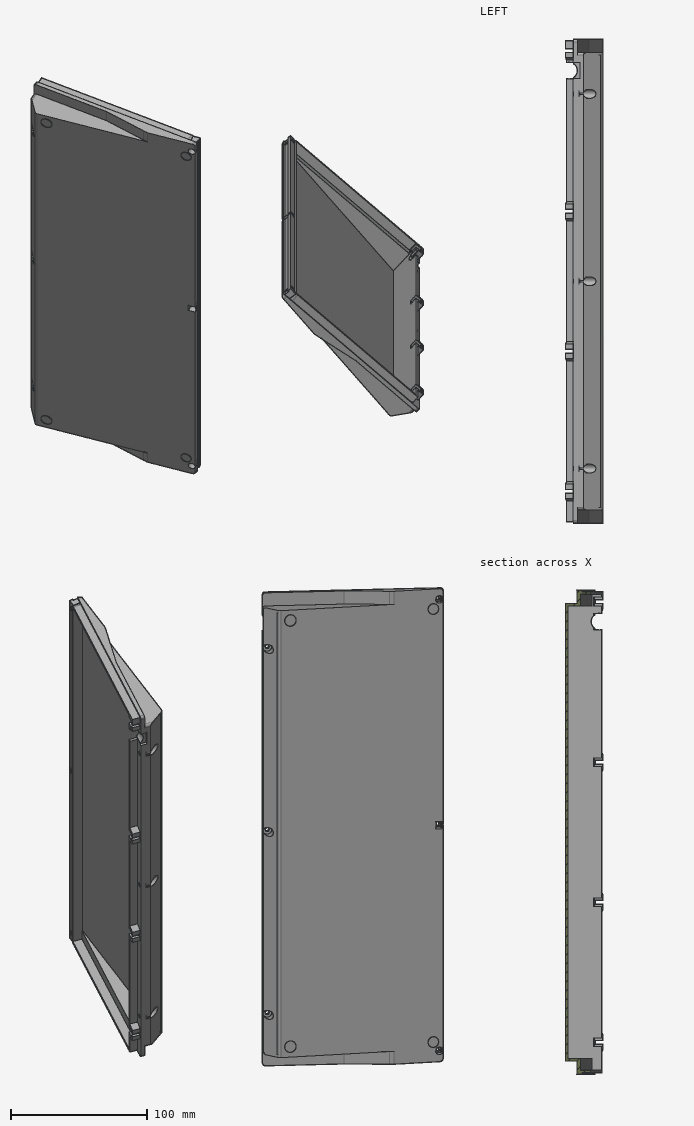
import cadquery as cq
import math


total_x = 133.23
total_y = 27.64
length = 355.26
half_length = length / 2
tilt = math.radians(8.3)

bevel_foot_x = 8.3
bevel_top_y = 14.5
plate_right_x = 132.3
rim_depth = 6.0
flange_depth = 3.1
plate_edge_radius = 2.0
corner_radius = 2.0
recess_corner_radius = 2.0
bead_y = 2.2

rim_end_inset = 1.2
wall = 2.0
rim_left = 7.0
rim_right = 128.5
rim_corner_radius = 3.0
floor_thickness = 2.0

tab_left = 1.6
tab_tip_width = 10.5
tab_root_width = 14.0
tab_gap = 2.6
tab_pitch = 102.7
end_tab_z = 169.2

recess_width = 9.8
recess_bend_x = 60.0
recess_foot_x = 92.0
recess_end_x = 95.3
recess_foot_y = 0.9

notch_z = 154.5
notch_width = 11.8
notch_floor_y = 17.1
notch_radius = 6.0
notch_centre_y = 25.0

left_screw_pitch = 137.4
left_screw_offset = 3.25
screw_head_radius = 3.3
screw_floor = 4.2
screw_hole_radius = 1.5

right_screw_x = 129.7
right_screw_z = 169.5
right_head_radius = 2.7
right_hole_radius = 1.6
middle_hole_length = 3.8

rail_left_x = 127.5
rail_top_y = 9.0
rail_thickness = 2.6
rail_gap = 1.2

foot_depth = 0.5
left_foot = (16.8, 160.0, 4.3)
right_foot = (125.2, 162.6, 4.0)

rim_top_v = (total_y - bevel_top_y + tab_left * math.sin(tilt)) / math.cos(tilt)
deck_v = rim_top_v - rim_depth
flange_under_v = deck_v - flange_depth
rim_end_z = half_length - rim_end_inset

right_screw_u = right_screw_x * math.cos(tilt) + bevel_top_y * math.sin(tilt)
right_head_v = (
    right_screw_x * math.sin(tilt)
    + (rail_top_y - rail_thickness - bevel_top_y) * math.cos(tilt)
)

cut_margin = 1.0


def sloped(u, v):
    """X and Y of a point given along and square to the sloped deck."""
    x = u * math.cos(tilt) + v * math.sin(tilt)
    y = bevel_top_y - u * math.sin(tilt) + v * math.cos(tilt)
    return (x, y)


def sloped_at_x(x, v):
    """Point at the given X on the line a distance v above the sloped deck's origin."""
    u = (x - v * math.sin(tilt)) / math.cos(tilt)
    return sloped(u, v)


def prism(points, z_low, z_high):
    """Outline in X and Y, extruded along Z."""
    outline = cq.Workplane("XY").workplane(offset=z_low).polyline(points).close()
    return outline.extrude(z_high - z_low)


def deck_block(u_low, u_high, v_low, v_high, z_low, z_high):
    """Block square to the sloped deck."""
    corners = [
        sloped(u_low, v_low),
        sloped(u_high, v_low),
        sloped(u_high, v_high),
        sloped(u_low, v_high),
    ]
    return prism(corners, z_low, z_high)


def deck_plane(v):
    """Workplane parallel to the sloped deck: local x is u, local y is -Z, the normal is v."""
    along = cq.Vector(math.cos(tilt), -math.sin(tilt), 0)
    normal = cq.Vector(math.sin(tilt), math.cos(tilt), 0)
    origin = cq.Vector(*sloped(0, v), 0)
    return cq.Workplane(cq.Plane(origin=origin, xDir=along, normal=normal))


def make_body():
    """Solid wedge below the sloped deck, with rounded plate edge and end corners."""
    outline = [
        (bevel_foot_x, 0),
        (plate_right_x, 0),
        (total_x, bead_y),
        sloped_at_x(plate_right_x, deck_v),
        sloped(0, deck_v),
        (0, bevel_top_y),
    ]
    body = prism(outline, -half_length, half_length)
    plate_edge = cq.selectors.NearestToPointSelector((bevel_foot_x, 0, 0))
    return body.edges(plate_edge).fillet(plate_edge_radius)


def make_recess(side):
    """Cutter for the space under the flange at one end (side is +1 or -1)."""
    left_x, left_y = sloped(-cut_margin, flange_under_v)
    outline = [
        (left_x, left_y),
        sloped_at_x(recess_bend_x, flange_under_v),
        (recess_foot_x, recess_foot_y),
        (recess_end_x, 0),
        (left_x, 0),
    ]
    z_ends = sorted([side * (half_length - recess_width), side * (half_length + cut_margin)])
    return prism(outline, *z_ends)


def round_flange_corners(body):
    """Round the four corners of the flange ends."""
    for x, y in [sloped(0, deck_v - flange_depth / 2), (plate_right_x, bead_y / 2)]:
        for side in (-1, 1):
            corner = cq.selectors.NearestToPointSelector((x, y, side * half_length))
            body = body.edges(corner).fillet(corner_radius)
    return body


def round_recess_corners(body):
    """Round the edges where the left wall meets the end recesses."""
    x, y = sloped(0, flange_under_v / 2)
    for side in (-1, 1):
        edge = cq.selectors.NearestToPointSelector((x, y, side * (half_length - recess_width)))
        body = body.edges(edge).fillet(recess_corner_radius)
    return body


def make_rim():
    """Solid rim block standing on the deck, before it is hollowed."""
    rim = deck_block(rim_left, rim_right, deck_v - floor_thickness, rim_top_v, -rim_end_z, rim_end_z)
    right_corners = cq.selectors.BoxSelector(
        (*sloped(rim_right - wall, 0), -length),
        (*sloped(rim_right + wall, rim_top_v + wall), length),
    )
    upright = cq.Vector(math.sin(tilt), math.cos(tilt), 0)
    upright_edges = rim.edges(cq.selectors.ParallelDirSelector(upright))
    return upright_edges.edges(right_corners).fillet(rim_corner_radius)


def make_rail():
    """Rail along the right side of the rim, with an overhanging lip at its top."""
    lip_y = rail_top_y - rail_thickness
    outline = [
        (rail_left_x, bead_y),
        (plate_right_x, bead_y),
        (plate_right_x, lip_y),
        (total_x, lip_y),
        (total_x, rail_top_y),
        (rail_left_x, rail_top_y),
    ]
    return prism(outline, -rim_end_z, rim_end_z)


def make_rail_gap():
    """Gap at mid-length through everything that stands out from the right edge."""
    outline = [
        (plate_right_x, 0),
        (total_x + cut_margin, 0),
        (total_x + cut_margin, rail_top_y + cut_margin),
        (plate_right_x, rail_top_y + cut_margin),
    ]
    return prism(outline, -rail_gap / 2, rail_gap / 2)


def make_tab(z):
    """Flared tab joining the left rim wall, before its slot is cut."""
    outline = [
        (rim_left + wall, -z - tab_root_width / 2),
        (rim_left, -z - tab_root_width / 2),
        (tab_left, -z - tab_tip_width / 2),
        (tab_left, -z + tab_tip_width / 2),
        (rim_left, -z + tab_root_width / 2),
        (rim_left + wall, -z + tab_root_width / 2),
    ]
    base_v = deck_v - floor_thickness
    return deck_plane(base_v).polyline(outline).close().extrude(rim_top_v - base_v)


def make_end_tab_side():
    """Straight upper side of the top tab, flush with the end of the rim."""
    return deck_block(
        tab_left, rim_left + wall,
        deck_v - floor_thickness, rim_top_v,
        end_tab_z, rim_end_z,
    )


def make_tab_slot(z):
    """Slot through a tab and the rim wall behind it."""
    return deck_block(
        tab_left - cut_margin, rim_left + wall + cut_margin,
        deck_v, rim_top_v + cut_margin,
        z - tab_gap / 2, z + tab_gap / 2,
    )


def make_tab_pocket(z):
    """Hollow inside a tab, open to the main cavity."""
    half_width = tab_tip_width / 2 - wall
    return deck_block(
        tab_left + wall, rim_left + wall + cut_margin,
        deck_v, rim_top_v + cut_margin,
        z - half_width, z + half_width,
    )


def make_main_cavity():
    """Deep cavity between the two end recesses, open at the rim."""
    u_left = rim_left + wall
    u_right = rim_right - wall
    v_left = (floor_thickness - bevel_top_y + u_left * math.sin(tilt)) / math.cos(tilt)
    v_right = (floor_thickness - bevel_top_y + u_right * math.sin(tilt)) / math.cos(tilt)
    outline = [
        sloped(u_left, v_left),
        sloped(u_right, v_right),
        sloped(u_right, rim_top_v + cut_margin),
        sloped(u_left, rim_top_v + cut_margin),
    ]
    z_end = half_length - recess_width - wall
    return prism(outline, -z_end, z_end)


def make_flange_cavity():
    """Shallow cavity that carries the opening over the end recesses."""
    z_end = rim_end_z - wall
    return deck_block(
        rim_left + wall, rim_right - wall,
        flange_under_v + floor_thickness, rim_top_v + cut_margin,
        -z_end, z_end,
    )


def make_notch():
    """Cable notch: a rectangle in the outer wall and a round opening through the rest."""
    z_low = notch_z - notch_width / 2
    wall_cut = deck_block(-cut_margin, wall, 0, rim_top_v + cut_margin, z_low, z_low + notch_width)
    above_floor = cq.Workplane("XY").box(
        total_x, total_y, length, centered=(True, False, True)
    ).translate((0, notch_floor_y, 0))
    rim_cut = deck_block(
        -cut_margin, rim_left + wall + cut_margin,
        deck_v, rim_top_v + cut_margin,
        z_low, z_low + notch_width,
    )
    round_cut = (
        cq.Workplane("YZ")
        .center(notch_centre_y, notch_z)
        .circle(notch_radius)
        .extrude(sloped(rim_left + wall + cut_margin, deck_v)[0])
    )
    return wall_cut.intersect(above_floor).union(rim_cut).union(round_cut)


def sloped_cylinder(u, z, radius, v_top):
    """Cylinder square to the sloped deck, from below the front plate up to v_top."""
    below_v = -total_y
    return deck_plane(below_v).center(u, -z).circle(radius).extrude(v_top - below_v)


def make_left_screw_hole(z):
    """Hole with a sunk head, opening in the slanted left face."""
    head = sloped_cylinder(left_screw_offset, z, screw_head_radius, deck_v - screw_floor)
    hole = sloped_cylinder(left_screw_offset, z, screw_hole_radius, rim_top_v)
    return head.union(hole)


def make_right_screw_hole(z):
    """Hole with a sunk round head on the right edge of the front plate."""
    head = sloped_cylinder(right_screw_u, z, right_head_radius, right_head_v)
    return head.union(sloped_cylinder(right_screw_u, z, right_hole_radius, rim_top_v))


def make_middle_screw_hole():
    """Slotted hole with a square sunk head at mid-length of the right edge."""
    head = deck_block(
        right_screw_u - right_head_radius, right_screw_u + right_head_radius,
        -total_y, right_head_v,
        -right_head_radius, right_head_radius,
    )
    slot = deck_block(
        right_screw_u - right_hole_radius, right_screw_u + right_hole_radius,
        -total_y, rim_top_v,
        -middle_hole_length / 2, middle_hole_length / 2,
    )
    return head.union(slot)


def make_foot_seat(x, z, radius):
    """Shallow round seat sunk into the front plate."""
    return cq.Workplane("XZ").center(x, z).circle(radius).extrude(-foot_depth)


body = make_body()
for side in (-1, 1):
    body = body.cut(make_recess(side))
body = round_recess_corners(round_flange_corners(body))

tab_positions = [-1.5 * tab_pitch, -0.5 * tab_pitch, 0.5 * tab_pitch, end_tab_z]
body = body.union(make_rim()).union(make_rail())
for tab_z in tab_positions:
    body = body.union(make_tab(tab_z))
body = body.union(make_end_tab_side())

body = body.cut(make_main_cavity()).cut(make_flange_cavity())
for tab_z in tab_positions:
    body = body.cut(make_tab_slot(tab_z)).cut(make_tab_pocket(tab_z))
body = body.cut(make_notch()).cut(make_rail_gap())

for screw_z in (-left_screw_pitch, 0, left_screw_pitch):
    body = body.cut(make_left_screw_hole(screw_z))
for screw_z in (-right_screw_z, right_screw_z):
    body = body.cut(make_right_screw_hole(screw_z))
body = body.cut(make_middle_screw_hole())
for foot_x, foot_z, foot_radius in (left_foot, right_foot):
    for side in (-1, 1):
        body = body.cut(make_foot_seat(foot_x, side * foot_z, foot_radius))

result = body